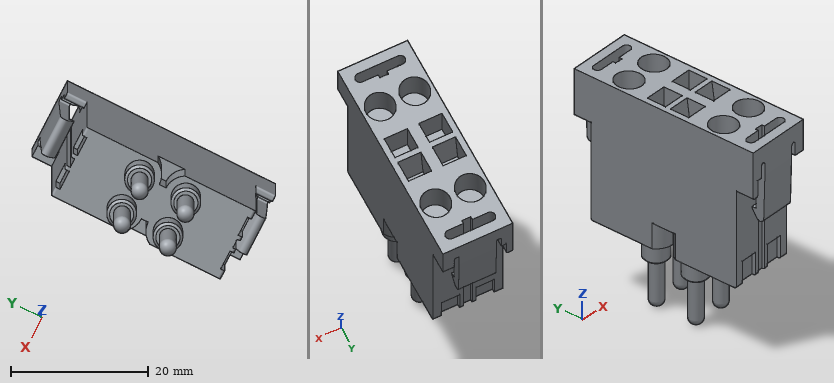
import cadquery as cq
import math


total_height = 37.42
pole_pitch = 5.65

width = 11.4
head_length = 34.0
body_length = 27.6
housing_height = 25.35
head_height = 5.43
bottom_fillet = 0.37
head_underside = housing_height - head_height
overhang = (head_length - body_length) / 2

lip_width = 1.05
lip_drop = 2.9
lip_fillet = 0.35

latch_width = 6.1
latch_wall = 1.7
latch_drop = 8.42
latch_taper = 0.22
latch_tip_radius = 0.7
hook_reach = 0.75
hook_drop = 6.45
hook_lip = 0.3
relief_width = 0.8
relief_height = 2.47

slot_length = 8.1
slot_width = overhang - latch_wall

groove_width = 1.42
groove_depth = 0.52
notch_width = 3.0
notch_height = 4.1
notch_depth = 0.67

entry_depth = 4.85
round_width = 4.6
round_length = 4.8
round_pitch = 17.95
square_width = 3.78
square_inner = 0.45
square_outer = 3.93
square_slope = 8.0

pin_pitch_y = 7.5
pin_diameter = 2.5
pin_radius = pin_diameter / 2
pin_drop = total_height - housing_height
sleeve_pitch_x = 5.75
sleeve_pitch_y = 7.55
sleeve_radius = 2.17
sleeve_height = 3.63
sleeve_chamfer = 0.4

recess_height = 4.53
recess_wall_radius = 3.2
recess_depth = width / 2 - sleeve_pitch_x / 2

POLES = [(sx, sy) for sx in (-1, 1) for sy in (-1, 1)]


def box_between(x_range, y_range, z_range):
    """Box spanning the given (low, high) ranges."""
    corner = (x_range[0], y_range[0], z_range[0])
    size = (x_range[1] - x_range[0], y_range[1] - y_range[0], z_range[1] - z_range[0])
    return cq.Workplane("XY").box(*size, centered=False).translate(corner)


def both_ends(shape):
    """The shape, made at the -Y end, together with its mirror image at the +Y end."""
    return shape.union(shape.mirror("XZ"))


def make_block():
    """Narrow body under a longer head."""
    body = cq.Workplane("XY").box(width, body_length, housing_height, centered=(True, True, False))
    body = body.faces("<Z").edges("|X").fillet(bottom_fillet)
    head = cq.Workplane("XY", origin=(0, 0, head_underside)).box(
        width, head_length, head_height, centered=(True, True, False)
    )
    return body.union(head)


def make_lip():
    """Lip under the -Y overhang with both lower edges rounded."""
    lip = box_between(
        (-width / 2, -width / 2 + lip_width),
        (-head_length / 2, -body_length / 2),
        (head_underside - lip_drop, head_underside),
    )
    return lip.faces("<Z").edges("|Y").fillet(lip_fillet)


def make_latch():
    """Tapered latch blade with an inward hook, hanging from the -Y end wall."""
    outer = -head_length / 2
    inner = outer + latch_wall
    hook_tip = inner + hook_reach
    hook_top = head_underside - hook_drop
    tip_bottom = head_underside - latch_drop
    tip_y = outer + latch_taper + latch_tip_radius
    tip_z = tip_bottom + latch_tip_radius
    ramp_z = hook_top - hook_lip
    dy = hook_tip - tip_y
    dz = ramp_z - tip_z
    tangent_angle = math.atan2(dz, dy) - math.acos(latch_tip_radius / math.hypot(dy, dz))
    ramp_end = (
        tip_y + latch_tip_radius * math.cos(tangent_angle),
        tip_z + latch_tip_radius * math.sin(tangent_angle),
    )
    return (
        cq.Workplane("YZ", origin=(-latch_width / 2, 0, 0))
        .moveTo(outer, head_underside)
        .lineTo(outer + latch_taper, tip_z)
        .threePointArc((tip_y, tip_bottom), ramp_end)
        .lineTo(hook_tip, ramp_z)
        .lineTo(hook_tip, hook_top)
        .lineTo(inner, hook_top)
        .lineTo(inner, head_underside)
        .close()
        .extrude(latch_width)
    )


def make_latch_slot():
    """Round-ended slot through the -Y overhang, between the end wall and the body."""
    return (
        cq.Workplane("XY", origin=(0, -body_length / 2 - slot_width / 2, head_underside))
        .slot2D(slot_length, slot_width)
        .extrude(head_height)
    )


def make_relief_cuts():
    """Round-topped cuts through the -Y end wall into the slot, on both sides of the latch."""
    cut_x = (latch_width + relief_width) / 2
    arc_z = head_underside + relief_height - relief_width / 2
    cut = (
        cq.Workplane("XZ", origin=(cut_x, -head_length / 2, 0))
        .moveTo(-relief_width / 2, head_underside)
        .lineTo(relief_width / 2, head_underside)
        .lineTo(relief_width / 2, arc_z)
        .threePointArc((0, head_underside + relief_height), (-relief_width / 2, arc_z))
        .close()
        .extrude(-(latch_wall + slot_width / 2))
    )
    return cut.union(cut.mirror("YZ"))


def make_end_cuts():
    """Full-height groove and two low notches in the -Y end face of the body."""
    face = -body_length / 2
    groove_x = (-groove_width / 2, groove_width / 2)
    cuts = box_between(groove_x, (face, face + groove_depth), (0, housing_height))
    for x in (-pole_pitch / 2, pole_pitch / 2):
        notch_x = (x - notch_width / 2, x + notch_width / 2)
        cuts = cuts.union(box_between(notch_x, (face, face + notch_depth), (0, notch_height)))
    return cuts


def make_side_recess():
    """Recess in the -X side, less the round walls around the two nearest sleeves."""
    y_range = (-sleeve_pitch_y / 2, sleeve_pitch_y / 2)
    recess = box_between((-width / 2, -width / 2 + recess_depth), y_range, (0, recess_height))
    walls = (
        cq.Workplane("XY")
        .pushPoints([(-sleeve_pitch_x / 2, y) for y in y_range])
        .circle(recess_wall_radius)
        .extrude(recess_height)
    )
    return recess.cut(walls)


def make_round_entries():
    """Four blind oval entries in the top face."""
    return (
        cq.Workplane("XY", origin=(0, 0, housing_height))
        .pushPoints([(sx * pole_pitch / 2, sy * round_pitch / 2) for sx, sy in POLES])
        .ellipse(round_width / 2, round_length / 2)
        .extrude(-entry_depth)
    )


def make_square_entries(x):
    """Two blind rectangular entries at the given X; the wall next to the centre leans outward."""
    slope_run = entry_depth * math.tan(math.radians(square_slope))
    floor_z = housing_height - entry_depth
    entry = (
        cq.Workplane("YZ", origin=(x - square_width / 2, 0, 0))
        .moveTo(-square_inner, housing_height)
        .lineTo(-square_inner - slope_run, floor_z)
        .lineTo(-square_outer, floor_z)
        .lineTo(-square_outer, housing_height)
        .close()
        .extrude(square_width)
    )
    return both_ends(entry)


def make_housing():
    """Housing with lips, latches, slots, grooves, recesses and entries."""
    housing = make_block().union(both_ends(make_lip())).union(both_ends(make_latch()))
    housing = housing.cut(both_ends(make_latch_slot()))
    housing = housing.cut(both_ends(make_relief_cuts()))
    housing = housing.cut(both_ends(make_end_cuts()))
    recess = make_side_recess()
    housing = housing.cut(recess).cut(recess.mirror("YZ"))
    housing = housing.cut(make_round_entries())
    for x in (-pole_pitch / 2, pole_pitch / 2):
        housing = housing.cut(make_square_entries(x))
    return housing


def pin_place(sx, sy):
    """Pin centre at the pole with the given X and Y signs."""
    return sx * pole_pitch / 2, sy * pin_pitch_y / 2


def make_sleeve(sx, sy):
    """Sleeve under the housing, bored slightly off centre for its pin and chamfered at the lower rim."""
    centre = (sx * sleeve_pitch_x / 2, sy * sleeve_pitch_y / 2)
    sleeve = cq.Workplane("XY", origin=(*centre, 0)).circle(sleeve_radius).extrude(-sleeve_height)
    sleeve = sleeve.faces("<Z").chamfer(sleeve_chamfer)
    bore = cq.Workplane("XY", origin=(*pin_place(sx, sy), 0)).circle(pin_radius).extrude(-sleeve_height)
    return sleeve.cut(bore)


def make_pin(sx, sy):
    """Pin with a half-ball tip, reaching up to the underside of the housing."""
    x, y = pin_place(sx, sy)
    pin = cq.Workplane("XY", origin=(x, y, 0)).circle(pin_radius).extrude(pin_radius - pin_drop)
    ball = cq.Workplane("XY", origin=(x, y, pin_radius - pin_drop)).sphere(pin_radius)
    return pin.union(ball)


housing = make_housing()
sleeves = [make_sleeve(sx, sy) for sx, sy in POLES]
pins = [make_pin(sx, sy) for sx, sy in POLES]

result = cq.Compound.makeCompound(
    [housing.val(), *[sleeve.val() for sleeve in sleeves], *[pin.val() for pin in pins]]
)